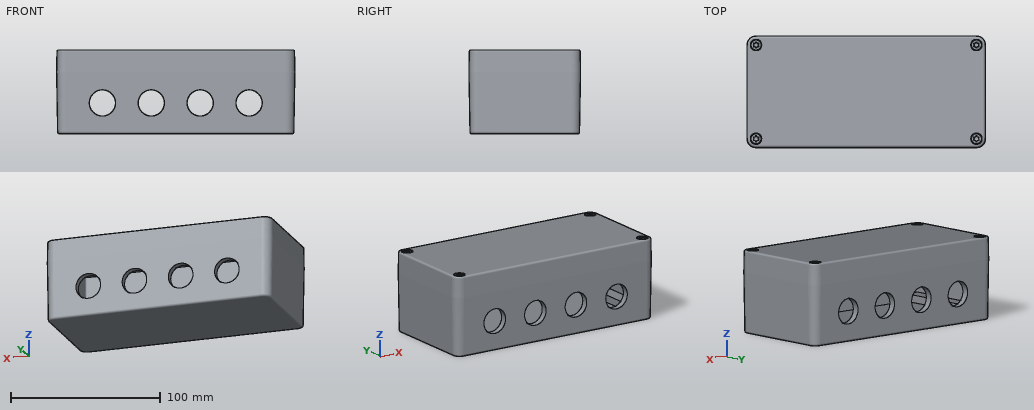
import cadquery as cq

LENGTH = 160.0
WIDTH = 75.0
HEIGHT = 56.5
LID_HEIGHT = 15.0
BASE_HEIGHT = HEIGHT - LID_HEIGHT
CORNER_RADIUS = 6.0
DRAFT_ANGLE = 1.0
TOP_EDGE_RADIUS = 1.5
BOTTOM_EDGE_RADIUS = 1.5

WALL = 5.1
FLOOR = 4.6
LID_TOP = 4.8
LEDGE_HEIGHT = 5.1
LEDGE_X = 65.1

HOLE_DIAMETER = 17.5
HOLE_COUNT = 4
HOLE_PITCH = 32.8
HOLE_Z = 20.8

SCREW_X = LENGTH / 2 - CORNER_RADIUS
SCREW_Y = WIDTH / 2 - CORNER_RADIUS
POCKET_RADIUS = 3.8
POCKET_DEPTH = 1.6
HEAD_RADIUS = 3.4
HEAD_RECESS = 0.5
SOCKET_DEPTH = 1.3
SOCKET_TIP_DEPTH = 0.3
SOCKET_CORE_RADIUS = 1.5
LOBE_COUNT = 6
LOBE_RADIUS = 0.5
LOBE_OFFSET = 1.6


def rounded_block(length, width, height, corner_radius, taper=0.0):
    """Rounded rectangle on the XY plane, extruded along Z (downwards if negative)."""
    outline = cq.Sketch().rect(length, width).vertices().fillet(corner_radius)
    return cq.Workplane("XY").placeSketch(outline).extrude(height, taper=taper)


def make_shell():
    """Outer body: base and lid both taper away from the parting plane."""
    base = rounded_block(LENGTH, WIDTH, -BASE_HEIGHT, CORNER_RADIUS, DRAFT_ANGLE)
    lid = rounded_block(LENGTH, WIDTH, LID_HEIGHT, CORNER_RADIUS, DRAFT_ANGLE)
    base = base.faces("<Z").edges().fillet(BOTTOM_EDGE_RADIUS)
    lid = lid.faces(">Z").edges().fillet(TOP_EDGE_RADIUS)
    return base.union(lid).translate((0, 0, BASE_HEIGHT))


def make_cavity():
    """Hollow interior with a raised step left on the floor at each end."""
    inner_length = LENGTH - 2 * WALL
    inner_width = WIDTH - 2 * WALL
    corner_radius = CORNER_RADIUS - WALL
    ledge_top = FLOOR + LEDGE_HEIGHT
    upper_height = HEIGHT - LID_TOP - ledge_top
    lower = rounded_block(2 * LEDGE_X, inner_width, LEDGE_HEIGHT, corner_radius)
    upper = rounded_block(inner_length, inner_width, upper_height, corner_radius)
    lower = lower.translate((0, 0, FLOOR))
    upper = upper.translate((0, 0, ledge_top))
    return lower.union(upper)


def make_cable_holes():
    """Cylinders along Y that cross the whole width."""
    return (
        cq.Workplane("XZ", origin=(0, 0, HOLE_Z))
        .rarray(HOLE_PITCH, 1.6, HOLE_COUNT, 1)
        .circle(HOLE_DIAMETER / 2)
        .extrude(WIDTH, both=True)
    )


def make_screw_cut():
    """Cut for one screw: recess, gap around the head and six-lobed socket with a conical end."""
    head_z = HEIGHT - HEAD_RECESS
    pocket_z = HEIGHT - POCKET_DEPTH
    socket_z = head_z - SOCKET_DEPTH

    pocket = cq.Workplane("XY", origin=(0, 0, pocket_z)).circle(POCKET_RADIUS).extrude(POCKET_DEPTH)
    head = cq.Workplane("XY", origin=(0, 0, pocket_z)).circle(HEAD_RADIUS).extrude(head_z - pocket_z)

    core = cq.Workplane("XY", origin=(0, 0, socket_z)).circle(SOCKET_CORE_RADIUS).extrude(SOCKET_DEPTH)
    lobes = (
        cq.Workplane("XY", origin=(0, 0, socket_z))
        .polarArray(LOBE_OFFSET, 90, 360, LOBE_COUNT)
        .circle(LOBE_RADIUS)
        .extrude(SOCKET_DEPTH)
    )
    tip = cq.Workplane("XY").add(
        cq.Solid.makeCone(
            SOCKET_CORE_RADIUS, 0, SOCKET_TIP_DEPTH, cq.Vector(0, 0, socket_z), cq.Vector(0, 0, -1)
        )
    )
    socket = core.union(lobes).union(tip)
    return pocket.cut(head).union(socket)


result = make_shell().cut(make_cavity()).cut(make_cable_holes())
for side_x in (-1, 1):
    for side_y in (-1, 1):
        position = (side_x * SCREW_X, side_y * SCREW_Y, 0)
        result = result.cut(make_screw_cut().translate(position))